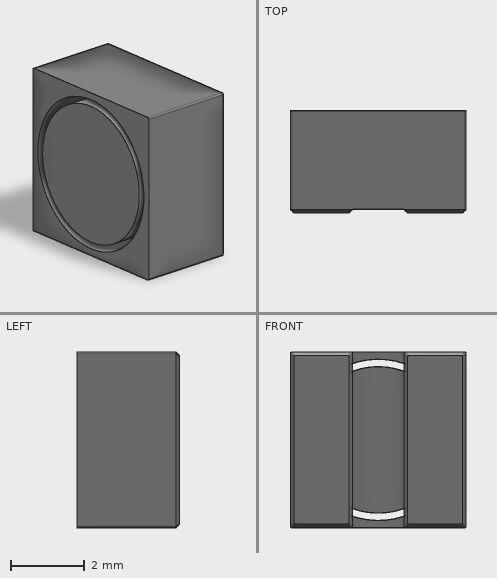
import cadquery as cq

SIDE = 4.8
TOTAL_DEPTH = 2.8
EDGE_RADIUS = 0.05

PAD_THICKNESS = 0.1
PAD_TAPER = 45.0
CHANNEL_WIDTH = 1.4

CORE_DIAMETER = 4.005
BORE_DIAMETER = 4.395

BODY_DEPTH = TOTAL_DEPTH - PAD_THICKNESS
BODY_FRONT = -BODY_DEPTH / 2
PAD_WIDTH = (SIDE - CHANNEL_WIDTH) / 2
PAD_CENTER = (CHANNEL_WIDTH + PAD_WIDTH) / 2


def rounded_block(depth):
    """Square block with rounded depth-wise edges."""
    return cq.Workplane("XY").box(SIDE, depth, SIDE).edges("|Y").fillet(EDGE_RADIUS)


def make_body():
    """Square frame with a separate round core."""
    ring_gap = (
        cq.Workplane("XZ", origin=(0, BODY_DEPTH / 2, 0))
        .circle(BORE_DIAMETER / 2)
        .circle(CORE_DIAMETER / 2)
        .extrude(BODY_DEPTH)
    )
    return rounded_block(BODY_DEPTH).cut(ring_gap)


def make_pad(x_center):
    """Full-height pad tapering at 45 degrees, with rounded sloping corners."""
    pad = (
        cq.Workplane("XZ", origin=(x_center, BODY_FRONT, 0))
        .rect(PAD_WIDTH, SIDE)
        .extrude(PAD_THICKNESS, taper=PAD_TAPER)
    )
    sloping_corners = pad.edges("not(#Y)")
    pad = sloping_corners.fillet(EDGE_RADIUS)
    return pad.intersect(rounded_block(2 * TOTAL_DEPTH))


result = make_body()
for side in (-1, 1):
    result = result.union(make_pad(side * PAD_CENTER))
result = result.translate((0, PAD_THICKNESS / 2, 0))